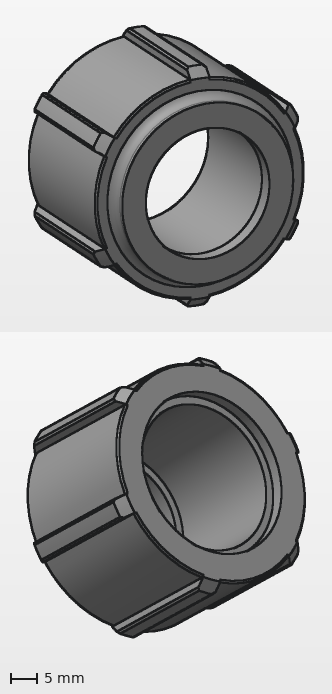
import cadquery as cq
import math

total_length = 33.0
neck_length = 3.3
body_length = total_length - neck_length
body_radius = 22.0
body_chamfer = 0.4

neck_radius = 18.0
flare_radius = 2.5
neck_straight_length = 1.0

recess_diameter = 32.5
recess_depth = 2.7
bore_diameter = 29.25
lip_diameter = 26.0
lip_thickness = neck_length

rib_count = 6
rib_width = 4.0
rib_tip_radius = 24.0
rib_end_chamfer = rib_tip_radius - body_radius
rib_edge_chamfer = 0.45
rib_root_radius = 20.0


def cylinder(radius, start, length):
    """Solid cylinder along X."""
    return cq.Workplane("YZ").workplane(offset=start).circle(radius).extrude(length)


def make_body():
    return cylinder(body_radius, 0, body_length).edges().chamfer(body_chamfer)


def make_neck():
    """Neck whose outside sweeps outward in an arc until it meets the body."""
    flare_end = total_length - neck_straight_length
    flare_length = flare_end - body_length
    flare_angle = math.asin(flare_length / flare_radius)
    flare_centre_radius = neck_radius + flare_radius

    def flare_point(angle):
        return (
            flare_end - flare_radius * math.sin(angle),
            flare_centre_radius - flare_radius * math.cos(angle),
        )

    return (
        cq.Workplane("XY")
        .moveTo(body_length, 0)
        .lineTo(*flare_point(flare_angle))
        .threePointArc(flare_point(flare_angle / 2), flare_point(0))
        .lineTo(total_length, neck_radius)
        .lineTo(total_length, 0)
        .close()
        .revolve(360, (0, 0, 0), (1, 0, 0))
    )


def make_rib():
    """Rib on the +Z side: crowned top, bevelled long edges and conical ends."""
    half_width = rib_width / 2
    edge_height = math.sqrt(rib_tip_radius**2 - half_width**2)
    crown_half_width = half_width - rib_edge_chamfer
    crown_edge_height = math.sqrt(rib_tip_radius**2 - crown_half_width**2)
    bar = (
        cq.Workplane("YZ")
        .moveTo(-half_width, rib_root_radius)
        .lineTo(-half_width, edge_height - rib_edge_chamfer)
        .lineTo(-crown_half_width, crown_edge_height)
        .threePointArc((0, rib_tip_radius), (crown_half_width, crown_edge_height))
        .lineTo(half_width, edge_height - rib_edge_chamfer)
        .lineTo(half_width, rib_root_radius)
        .close()
        .extrude(body_length)
    )
    envelope = cylinder(rib_tip_radius, 0, body_length).edges().chamfer(rib_end_chamfer)
    return bar.intersect(envelope)


def cut_bore(part):
    part = part.cut(cylinder(lip_diameter / 2, 0, total_length))
    part = part.cut(cylinder(bore_diameter / 2, 0, total_length - lip_thickness))
    return part.cut(cylinder(recess_diameter / 2, 0, recess_depth))


coupling = make_body().union(make_neck())
rib = make_rib()
for index in range(rib_count):
    coupling = coupling.union(rib.rotate((0, 0, 0), (1, 0, 0), index * 360 / rib_count))

result = cut_bore(coupling)